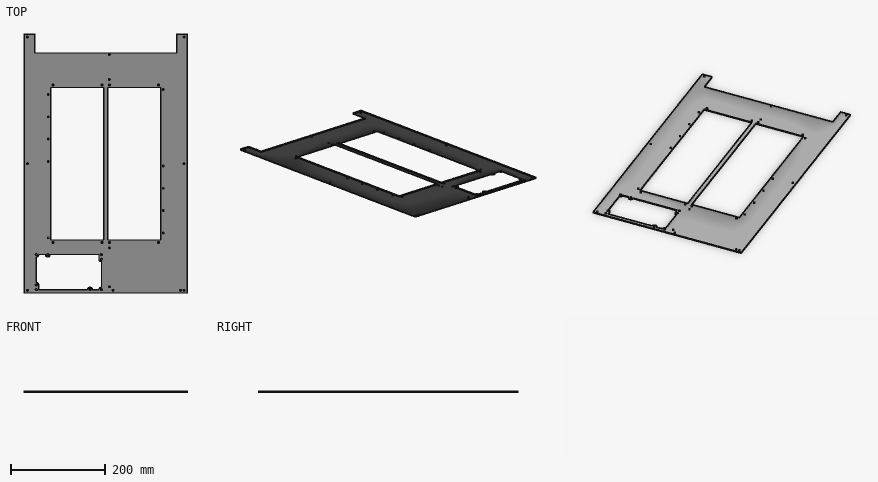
import cadquery as cq

sheet_count = 2
stack_thickness = 3.0
sheet_thickness = stack_thickness / sheet_count

sheet_width = 347.0
sheet_length = 550.0
prong_width = 23.0
notch_depth = 39.5
notch_width = sheet_width - 2 * prong_width

window_width = 111.5
window_length = 323.5
rib_width = 9.5
window_x = (rib_width + window_width) / 2

window_hole_diameter = 3.6
window_hole_inner_x = 7.5
window_hole_outer_x = 112.0
window_hole_gap = 5.5
window_hole_y = window_length / 2 + window_hole_gap

supply_pitch_x = 138.0
supply_pitch_y = 74.0
supply_right = -9.5
supply_rear = -193.0
supply_x = supply_right - supply_pitch_x / 2
supply_y = supply_rear - supply_pitch_y / 2
supply_inset_x = 24.0
supply_inset_y = 10.0
supply_hole_diameter = 3.6
lug_radius = 5.2

screw_hole_diameter = 3.0
edge_hole_side_margin = 7.0
edge_hole_end_margin = 6.0
edge_hole_x = sheet_width / 2 - edge_hole_side_margin
edge_hole_y = sheet_length / 2 - edge_hole_end_margin
front_hole_columns = [15.5, 159.0]

side_hole_x = 122.0
side_hole_first_y = 5.0
side_hole_pitch = 47.5
side_hole_row_count = 4
side_hole_far_y = -157.5

centre_hole_rows = [-261.0, -179.0, 179.0, 231.5]


def block(width, length, x, y):
    """Rectangular prism of sheet thickness centred on (x, y)."""
    return cq.Workplane("XY").center(x, y).rect(width, length).extrude(sheet_thickness)


def discs(points, diameter):
    """Round prisms of sheet thickness, one at each point."""
    return cq.Workplane("XY").pushPoints(points).circle(diameter / 2).extrude(sheet_thickness)


def mirrored_points(x, y):
    """The point repeated in all four quadrants."""
    return [(side * x, end * y) for side in (-1, 1) for end in (-1, 1)]


def window_hole_points():
    inner = mirrored_points(window_hole_inner_x, window_hole_y)
    outer = mirrored_points(window_hole_outer_x, window_hole_y)
    return inner + outer


def screw_hole_points():
    points = mirrored_points(edge_hole_x, edge_hole_y)
    points += [(-edge_hole_x, 0), (edge_hole_x, 0)]
    points += [(x, -edge_hole_y) for x in front_hole_columns]
    points += [(window_hole_inner_x, y) for y in centre_hole_rows]
    side_rows = [side_hole_first_y + row * side_hole_pitch for row in range(side_hole_row_count)]
    for y in side_rows + [side_hole_far_y]:
        points += [(-side_hole_x, y), (side_hole_x, -y)]
    return points


def supply_hole_points():
    half_x = supply_pitch_x / 2
    half_y = supply_pitch_y / 2
    right_half = [
        (half_x, half_y),
        (half_x, half_y - supply_inset_y),
        (half_x, -half_y),
        (half_x - supply_inset_x, -half_y),
    ]
    return [(supply_x + turn * x, supply_y + turn * y) for turn in (1, -1) for x, y in right_half]


def supply_opening():
    opening = block(supply_pitch_x, supply_pitch_y, supply_x, supply_y)
    opening = opening.cut(discs(supply_hole_points(), 2 * lug_radius))
    for turn in (1, -1):
        strip_x = supply_x + turn * supply_pitch_x / 2
        strip_y = supply_y + turn * (supply_pitch_y - supply_inset_y) / 2
        opening = opening.cut(block(2 * lug_radius, supply_inset_y, strip_x, strip_y))
    return opening


def make_sheet():
    sheet = block(sheet_width, sheet_length, 0, 0)
    notch_y = (sheet_length - notch_depth) / 2
    sheet = sheet.cut(block(notch_width, notch_depth, 0, notch_y))
    for side in (-1, 1):
        sheet = sheet.cut(block(window_width, window_length, side * window_x, 0))
    sheet = sheet.cut(supply_opening())
    sheet = sheet.cut(discs(supply_hole_points(), supply_hole_diameter))
    sheet = sheet.cut(discs(window_hole_points(), window_hole_diameter))
    return sheet.cut(discs(screw_hole_points(), screw_hole_diameter))


sheets = []
for level in range(sheet_count):
    sheets.append(make_sheet().translate((0, 0, level * sheet_thickness)).val())

result = cq.Compound.makeCompound(sheets)